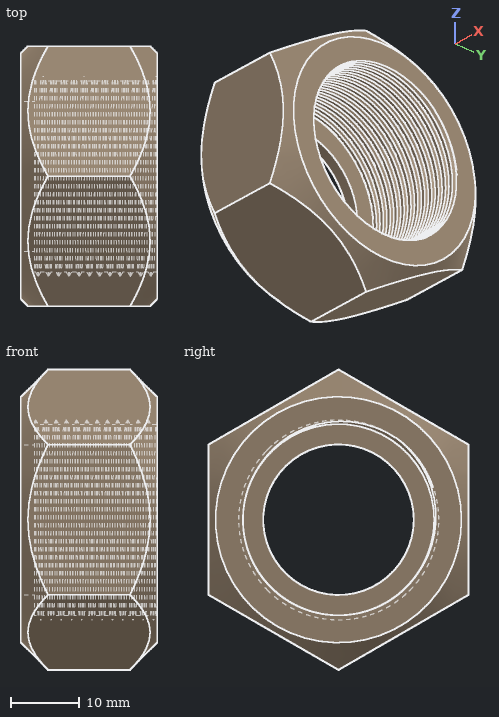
import cadquery as cq
import math

width_across_flats = 38.1
nut_length = 20.0
end_face_radius = 18.0

lip_hole_radius = 11.0
lip_thickness = 2.0

thread_bore_radius = 14.0
thread_pitch = 1.5
groove_width = 0.75
groove_angle = 60.0
groove_overlap = 0.1
helix_start = 1.4

corner_radius = width_across_flats / math.sqrt(3)
corner_chamfer = corner_radius - end_face_radius
left_end = -nut_length / 2
groove_slope = math.tan(math.radians(groove_angle / 2))
groove_depth = groove_width / 2 / groove_slope


def x_cylinder(radius, start, length):
    """Cylinder about the X axis, from start towards +X."""
    return cq.Workplane("YZ", origin=(start, 0, 0)).circle(radius).extrude(length)


def hexagon_body():
    """Hexagonal prism with corners at +Z and -Z and flats facing +Y and -Y."""
    hexagon = cq.Workplane("YZ", origin=(left_end, 0, 0)).polygon(6, 2 * corner_radius)
    return hexagon.extrude(nut_length).rotate((0, 0, 0), (1, 0, 0), 90)


def chamfer_envelope():
    """Cylinder through the corners, with 45 degree chamfers at both ends."""
    cylinder = x_cylinder(corner_radius, left_end, nut_length)
    return cylinder.faces("<X or >X").chamfer(corner_chamfer)


def thread_groove():
    """Helical V groove along X, longer than the threaded bore at both ends."""
    inner_radius = thread_bore_radius - groove_overlap
    outer_radius = thread_bore_radius + groove_depth
    half_mouth = groove_width / 2 + groove_overlap * groove_slope
    profile_points = [(inner_radius, -half_mouth), (outer_radius, 0), (inner_radius, half_mouth)]
    helix_length = nut_length + thread_pitch - helix_start
    helix = cq.Wire.makeHelix(thread_pitch, helix_length, thread_bore_radius)
    profile = cq.Workplane("XZ").polyline(profile_points).close()
    groove = profile.sweep(cq.Workplane(obj=helix), isFrenet=True)
    return groove.rotate((0, 0, 0), (0, 1, 0), 90).translate((left_end + helix_start, 0, 0))


def threaded_bore():
    """Threaded bore, from the back of the lip out through the +X end."""
    bore_start = left_end + lip_thickness
    bore_length = nut_length - lip_thickness
    bore = x_cylinder(thread_bore_radius, bore_start, bore_length)
    limits = x_cylinder(corner_radius, bore_start, bore_length)
    return bore.union(thread_groove().intersect(limits))


nut = hexagon_body().intersect(chamfer_envelope())
lip_hole = x_cylinder(lip_hole_radius, left_end, nut_length)
result = nut.cut(lip_hole).cut(threaded_bore())